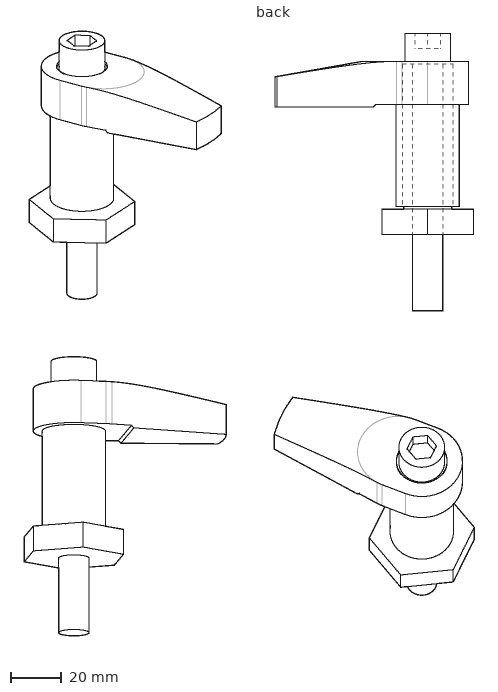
import cadquery as cq
import math

TOTAL_HEIGHT = 109.0
NUT_BOTTOM_Z = 30.0
NUT_HEIGHT = 10.0
RELIEF_HEIGHT = 1.0
LEVER_UNDERSIDE_Z = 81.0
LEVER_HEAD_HEIGHT = 17.0
SCREW_HEAD_HEIGHT = 12.0

NUT_TOP_Z = NUT_BOTTOM_Z + NUT_HEIGHT
SLEEVE_BOTTOM_Z = NUT_TOP_Z + RELIEF_HEIGHT
LEVER_TOP_Z = LEVER_UNDERSIDE_Z + LEVER_HEAD_HEIGHT
SCREW_SEAT_Z = TOTAL_HEIGHT - SCREW_HEAD_HEIGHT

SCREW_DIAMETER = 12.0
SCREW_HEAD_DIAMETER = 18.0
SOCKET_ACROSS_FLATS = 10.0
SOCKET_DEPTH = 6.0

NUT_ACROSS_FLATS = 36.0
BUSHING_DIAMETER = 20.0
RELIEF_DIAMETER = 19.0

SLEEVE_DIAMETER = 25.0
HEAD_RADIUS = 16.0
ARM_CENTER_X = 10.0
ARM_RADIUS = 50.0
ARM_TAPER_ANGLE = 8.2
ARM_DROP = 6.0
STEP_DEPTH = 1.0
STEP_START_X = 20.4


def cylinder(diameter, bottom_z, top_z):
    """Upright cylinder on the common axis."""
    return cq.Workplane("XY", origin=(0, 0, bottom_z)).circle(diameter / 2).extrude(top_z - bottom_z)


def hexagon(across_flats, bottom_z, height):
    """Upright hexagonal prism with two flats facing along X."""
    corner_diameter = across_flats / math.cos(math.pi / 6)
    prism = cq.Workplane("XY").polygon(6, corner_diameter).extrude(height)
    return prism.rotate((0, 0, 0), (0, 0, 1), 30).translate((0, 0, bottom_z))


def make_screw():
    """Socket head cap screw running through the bushing."""
    shank = cylinder(SCREW_DIAMETER, 0, SCREW_SEAT_Z)
    head = cylinder(SCREW_HEAD_DIAMETER, SCREW_SEAT_Z, TOTAL_HEIGHT)
    socket = hexagon(SOCKET_ACROSS_FLATS, TOTAL_HEIGHT - SOCKET_DEPTH, SOCKET_DEPTH)
    return shank.union(head).cut(socket)


def make_bushing():
    """Hexagonal base with a relief groove and a tube that carries the lever."""
    base = hexagon(NUT_ACROSS_FLATS, NUT_BOTTOM_Z, NUT_HEIGHT)
    relief = cylinder(RELIEF_DIAMETER, NUT_TOP_Z, SLEEVE_BOTTOM_Z)
    tube = cylinder(BUSHING_DIAMETER, SLEEVE_BOTTOM_Z, SCREW_SEAT_Z)
    bore = cylinder(SCREW_DIAMETER, NUT_BOTTOM_Z, SCREW_SEAT_Z)
    return base.union(relief).union(tube).cut(bore)


def lever_plan():
    """Lever seen along Z: round head, straight flanks, tangent arcs, tapered arm and round tip."""
    taper = math.radians(ARM_TAPER_ANGLE)
    half_taper = taper / 2
    arc_mid = (ARM_CENTER_X + HEAD_RADIUS * math.sin(half_taper), HEAD_RADIUS * math.cos(half_taper))
    arc_end = (ARM_CENTER_X + HEAD_RADIUS * math.sin(taper), HEAD_RADIUS * math.cos(taper))
    side_length = math.sqrt(ARM_RADIUS**2 - HEAD_RADIUS**2)
    tip_x = arc_end[0] + side_length * math.cos(taper)
    tip_y = arc_end[1] - side_length * math.sin(taper)
    return (
        cq.Workplane("XY")
        .moveTo(0, HEAD_RADIUS)
        .lineTo(ARM_CENTER_X, HEAD_RADIUS)
        .threePointArc(arc_mid, arc_end)
        .lineTo(tip_x, tip_y)
        .threePointArc((ARM_CENTER_X + ARM_RADIUS, 0), (tip_x, -tip_y))
        .lineTo(arc_end[0], -arc_end[1])
        .threePointArc((arc_mid[0], -arc_mid[1]), (ARM_CENTER_X, -HEAD_RADIUS))
        .lineTo(0, -HEAD_RADIUS)
        .threePointArc((-HEAD_RADIUS, 0), (0, HEAD_RADIUS))
        .close()
    )


def slope_cutter():
    """Half ring above the conical slope, revolved about the arm centre on its +X side."""
    slope = ARM_DROP / (ARM_RADIUS - HEAD_RADIUS)
    outer_radius = ARM_RADIUS + HEAD_RADIUS
    outer_z = LEVER_TOP_Z - slope * (outer_radius - HEAD_RADIUS)
    return (
        cq.Workplane("YZ", origin=(ARM_CENTER_X, 0, 0))
        .moveTo(HEAD_RADIUS, LEVER_TOP_Z)
        .lineTo(outer_radius, outer_z)
        .lineTo(outer_radius, LEVER_TOP_Z)
        .close()
        .revolve(180, (0, 0), (0, -1))
    )


def underside_cutter():
    """Clearance under the head, ending in a 45 degree step down to the arm's underside."""
    arm_bottom_z = LEVER_UNDERSIDE_Z - STEP_DEPTH
    return (
        cq.Workplane("XZ")
        .moveTo(-HEAD_RADIUS, LEVER_UNDERSIDE_Z)
        .lineTo(STEP_START_X, LEVER_UNDERSIDE_Z)
        .lineTo(STEP_START_X + STEP_DEPTH, arm_bottom_z)
        .lineTo(-HEAD_RADIUS, arm_bottom_z)
        .close()
        .extrude(HEAD_RADIUS, both=True)
    )


def make_lever():
    """Lever arm and its long sleeve, bored to turn on the bushing."""
    arm = lever_plan().extrude(LEVER_HEAD_HEIGHT + STEP_DEPTH)
    arm = arm.translate((0, 0, LEVER_UNDERSIDE_Z - STEP_DEPTH))
    arm = arm.cut(slope_cutter()).cut(underside_cutter())
    sleeve = cylinder(SLEEVE_DIAMETER, SLEEVE_BOTTOM_Z, LEVER_UNDERSIDE_Z)
    bore = cylinder(BUSHING_DIAMETER, SLEEVE_BOTTOM_Z, LEVER_TOP_Z)
    return arm.union(sleeve).cut(bore)


screw = make_screw()
bushing = make_bushing()
lever = make_lever()

result = cq.Compound.makeCompound([screw.val(), bushing.val(), lever.val()])